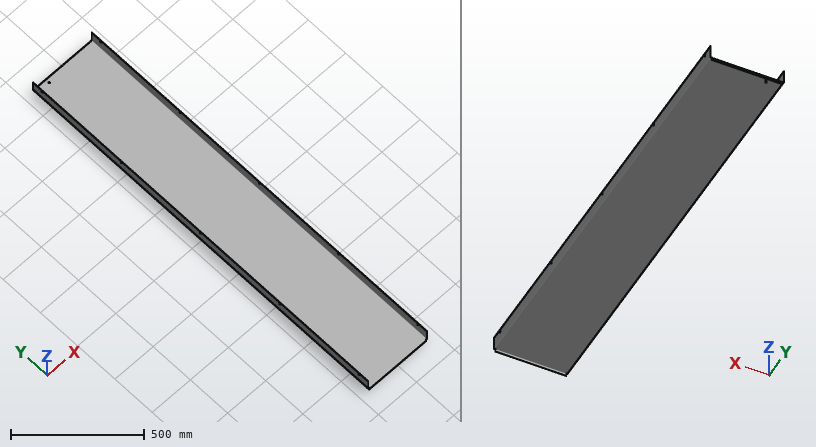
import cadquery as cq

tray_width = 310.0
tray_length = 1800.0
tray_height = 68.0

sheet = 1.5
outer_bend_radius = 3.0
inner_bend_radius = outer_bend_radius - sheet
end_flange_width = 299.0
floor_bottom = 10.0
floor_top = floor_bottom + sheet

hole_diameter = 7.0
hole_count = 5
hole_end_distance = 49.0
hole_pitch = (tray_length - 2 * hole_end_distance) / (hole_count - 1)
hole_height = 60.0

stud_diameter = 6.0
stud_x = -88.0
stud_y = 880.0


def centred_block(width, length, bottom, top):
    """Block centred in X and Y that spans from `bottom` to `top` in Z."""
    block = cq.Workplane("XY").box(width, length, top - bottom, centered=(True, True, False))
    return block.translate((0, 0, bottom))


def make_side_channel():
    """Floor with its two side walls folded up along the length."""
    outside = centred_block(tray_width, tray_length, floor_bottom, tray_height)
    outside = outside.edges("|Y and <Z").fillet(outer_bend_radius)
    inside = centred_block(tray_width - 2 * sheet, tray_length, floor_top, tray_height)
    inside = inside.edges("|Y and <Z").fillet(inner_bend_radius)
    return outside.cut(inside)


def make_end_channel():
    """Floor with its two end flanges folded down across the width."""
    outside = centred_block(end_flange_width, tray_length, 0, floor_top)
    outside = outside.edges("|X and >Z").fillet(outer_bend_radius)
    inside = centred_block(end_flange_width, tray_length - 2 * sheet, 0, floor_bottom)
    inside = inside.edges("|X and >Z").fillet(inner_bend_radius)
    return outside.cut(inside)


def make_end_fold_clearance():
    """Strips at both ends of the flat floor that make way for the end folds."""
    flat_length = tray_length - 2 * outer_bend_radius
    full_floor = centred_block(end_flange_width, tray_length, floor_bottom, floor_top)
    flat_floor = centred_block(end_flange_width, flat_length, floor_bottom, floor_top)
    return full_floor.cut(flat_floor)


def make_wall_holes():
    """Cylinders crossing the full width at each wall hole position."""
    first_y = hole_end_distance - tray_length / 2
    centres = [(first_y + index * hole_pitch, hole_height) for index in range(hole_count)]
    return (
        cq.Workplane("YZ")
        .pushPoints(centres)
        .circle(hole_diameter / 2)
        .extrude(tray_width / 2, both=True)
    )


def make_tray():
    side_channel = make_side_channel().cut(make_end_fold_clearance())
    return side_channel.union(make_end_channel()).cut(make_wall_holes())


def make_stud():
    """Stud hanging from the floor down to the level of the flange tips."""
    return (
        cq.Workplane("XY")
        .center(stud_x, stud_y)
        .circle(stud_diameter / 2)
        .extrude(floor_bottom)
    )


tray = make_tray()
stud = make_stud()

result = cq.Compound.makeCompound([tray.solids().val(), stud.val()])